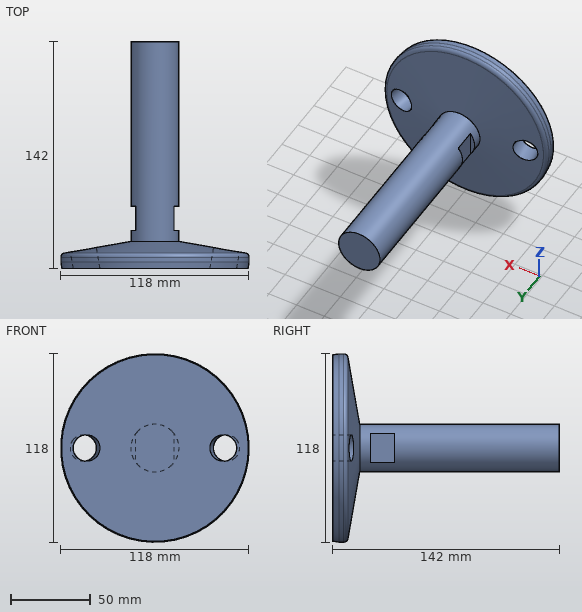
import cadquery as cq
import math

total_length = 142.0
plate_radius = 118.0 / 2
underside_radius = 58.4
rim_start = 4.1
rim_end = 7.0
rim_round = 2.8
cone_top = 17.0

stem_radius = 30.0 / 2
flat_width = 24.0
flat_start = 23.9
flat_length = 15.0

hole_diameter = 16.5
hole_offset = 42.7

round_center_radius = plate_radius - rim_round
run = round_center_radius - stem_radius
drop = cone_top - rim_end
cone_angle = math.atan2(drop, run) - math.asin(rim_round / math.hypot(run, drop))


def rounding_point(angle):
    """Point on the rim rounding, with the angle measured from the radial direction."""
    return (
        round_center_radius + rim_round * math.cos(angle),
        rim_end + rim_round * math.sin(angle),
    )


def make_body():
    """Revolve the plate and stem half-profile about the Y axis."""
    tangent_angle = math.pi / 2 - cone_angle
    profile = (
        cq.Workplane("XY")
        .lineTo(underside_radius, 0)
        .lineTo(plate_radius, rim_start)
        .lineTo(plate_radius, rim_end)
        .threePointArc(rounding_point(tangent_angle / 2), rounding_point(tangent_angle))
        .lineTo(stem_radius, cone_top)
        .lineTo(stem_radius, total_length)
        .lineTo(0, total_length)
        .close()
    )
    return profile.revolve(360, (0, 0, 0), (0, 1, 0))


def make_flat_cutter(side):
    """Block that cuts one wrench flat on the given X side of the stem."""
    block_size = 2 * stem_radius
    center_x = side * (flat_width + block_size) / 2
    center_y = flat_start + flat_length / 2
    block = cq.Workplane("XY").box(block_size, flat_length, block_size)
    return block.translate((center_x, center_y, 0))


def make_hole_cutter(side):
    """Cylinder through the plate, leaning outward on the given X side."""
    direction = cq.Vector(side * math.sin(cone_angle), math.cos(cone_angle), 0)
    underside_center = cq.Vector(side * hole_offset, 0, 0)
    start = underside_center - direction * cone_top
    return cq.Solid.makeCylinder(hole_diameter / 2, 3 * cone_top, start, direction)


result = make_body()
for side in (-1, 1):
    result = result.cut(make_flat_cutter(side))
    result = result.cut(cq.Workplane(obj=make_hole_cutter(side)))